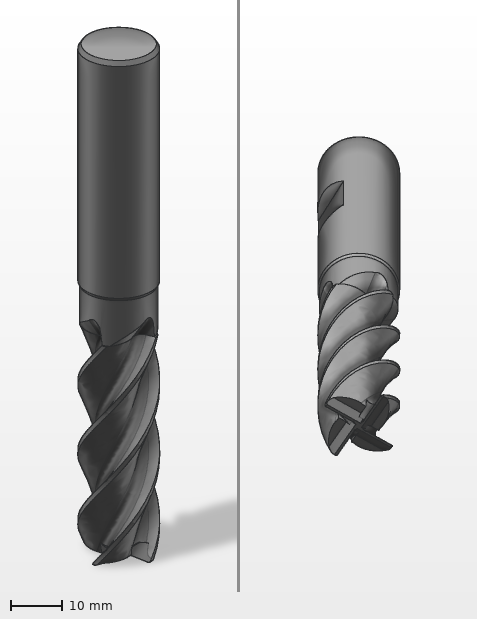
import cadquery as cq
import math

length = 110.0
diameter = 16.0
radius = diameter / 2

neck_diameter = 15.3
neck_top = 58.1
step_height = 0.7
end_chamfer_width = 0.7
end_chamfer_height = 1.0

flat_depth = 1.8
flat_length = 10.1
flat_center = 86.0

flutes = 4
flute_spacing = 360 / flutes
cutter_length = 48.1
lead = 60.3
twist = 360 * cutter_length / lead

edge_angle = -87.5
land_width = 8.0
heel_radius = 4.6
heel_angle = 59.0
back_radius = 6.2
back_angle = 32.0
core_radius = 4.2
core_angle = 76.0
rake_radius = 5.8
rake_angle = 91.0

gash_height = 3.0
gash_start = 1.1
gash_full_depth = 4.3
gash_side = 0.9
gash_undercut = 0.16
gash_slope = 0.62

relief_height = 0.8
relief_start = 0.7
relief_run = 1.6

corner_chamfer = 0.2

runout_height = 5.0


def polar(distance, angle):
    """Point at a distance from the axis, in a direction in degrees."""
    turn = math.radians(angle)
    return (distance * math.cos(turn), distance * math.sin(turn))


def add_flute(outline, start):
    """Draw the tooth back, gullet and rake face, from one land to the next cutting edge."""
    return (
        outline.threePointArc(polar(back_radius, start + back_angle), polar(heel_radius, start + heel_angle))
        .threePointArc(polar(core_radius, start + core_angle), polar(rake_radius, start + rake_angle))
        .lineTo(*polar(radius, start + flute_spacing))
    )


def tooth_section():
    """Cross-section of the cutter at its bottom end."""
    outline = cq.Workplane("XY").moveTo(*polar(radius, edge_angle))
    for tooth in range(flutes):
        start = edge_angle + tooth * flute_spacing
        land_middle = polar(radius, start + land_width / 2)
        land_end = polar(radius, start + land_width)
        outline = add_flute(outline.threePointArc(land_middle, land_end), start)
    return outline.close()


def at_tooth(shape, tooth):
    """Turn a shape made for a cutting edge along +X to the given tooth."""
    return shape.rotate((0, 0, 0), (0, 0, 1), edge_angle + tooth * flute_spacing)


def gash():
    """Notch in front of the cutting edge, with a leaning rake side and a roof that rises outward."""
    across = (
        cq.Workplane("YZ")
        .moveTo(-gash_side, 0)
        .lineTo(gash_undercut, 0)
        .lineTo(gash_undercut + gash_slope * gash_height, gash_height)
        .lineTo(-gash_side, gash_height)
        .close()
        .extrude(diameter)
    )
    along = (
        cq.Workplane("XZ")
        .moveTo(gash_start, 0)
        .lineTo(diameter, 0)
        .lineTo(diameter, gash_height)
        .lineTo(gash_full_depth, gash_height)
        .close()
        .extrude(diameter, both=True)
    )
    return across.intersect(along)


def end_relief():
    """Wedge that lifts the end face behind the cutting edge, then runs level."""
    return (
        cq.Workplane("YZ")
        .moveTo(relief_start, 0)
        .lineTo(diameter, 0)
        .lineTo(diameter, relief_height)
        .lineTo(relief_start + relief_run, relief_height)
        .close()
        .extrude(diameter)
    )


def corner_ring():
    """Triangular ring that chamfers the outer corners of the teeth."""
    return (
        cq.Workplane("XZ")
        .moveTo(radius - corner_chamfer, 0)
        .lineTo(radius + corner_chamfer, 0)
        .lineTo(radius + corner_chamfer, 2 * corner_chamfer)
        .close()
        .revolve(360, (0, 0, 0), (0, 1, 0))
    )


def make_cutter():
    """Right-hand helical cutter with gashes and end relief at its bottom end."""
    cutter = tooth_section().twistExtrude(cutter_length, twist)
    for tooth in range(flutes):
        cutter = cutter.cut(at_tooth(gash(), tooth))
        cutter = cutter.cut(at_tooth(end_relief(), tooth))
    return cutter.cut(corner_ring())


def clamping_flat():
    """Cut across the +Y side of the shank."""
    half = flat_length / 2
    floor = radius - flat_depth
    return (
        cq.Workplane("YZ")
        .moveTo(floor, flat_center - half)
        .lineTo(radius, flat_center - half - flat_depth)
        .lineTo(radius, flat_center + half + flat_depth)
        .lineTo(floor, flat_center + half)
        .close()
        .extrude(radius, both=True)
    )


def runout(tooth):
    """The flute section at the top of the cutter, leaving the neck upward and outward."""
    start = edge_angle + twist + tooth * flute_spacing
    outward = polar(neck_diameter / 2 - core_radius, start + core_angle)
    path = cq.Vector(outward[0], outward[1], runout_height)
    land_end = polar(radius, start + land_width)
    outline = cq.Workplane("XY", origin=(0, 0, cutter_length)).moveTo(*land_end)
    profile = add_flute(outline, start).lineTo(*polar(diameter, start + core_angle)).close()
    return cq.Workplane(cq.Solid.extrudeLinear(profile.val(), [], path))


def make_shank():
    """Shank and neck in one piece, standing on the top of the cutter."""
    neck_radius = neck_diameter / 2
    shank = (
        cq.Workplane("XZ")
        .moveTo(0, cutter_length)
        .lineTo(neck_radius, cutter_length)
        .lineTo(neck_radius, neck_top)
        .lineTo(radius, neck_top + step_height)
        .lineTo(radius, length - end_chamfer_height)
        .lineTo(radius - end_chamfer_width, length)
        .lineTo(0, length)
        .close()
        .revolve(360, (0, 0, 0), (0, 1, 0))
        .cut(clamping_flat())
    )
    for tooth in range(flutes):
        shank = shank.cut(runout(tooth))
    return shank


cutter = make_cutter()
shank = make_shank()
result = cq.Compound.makeCompound([cutter.val(), shank.val()])